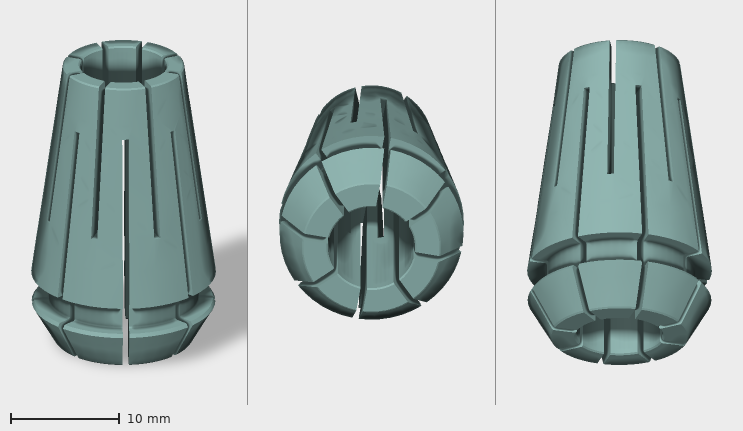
import cadquery as cq
import math

height = 27.5
bore_radius = 8.0 / 2

taper_half_angle = math.radians(8.0)
taper_base_radius = 8.5
taper_base_z = 6.65
taper_top_radius = taper_base_radius - (height - taper_base_z) * math.tan(taper_half_angle)

groove_radius = 6.88
groove_corner_radius = 0.16
groove_base_z = 4.02

head_half_angle = math.radians(30.0)
head_base_radius = 6.32
head_rim_z = 3.68
head_rim_radius = head_base_radius + head_rim_z * math.tan(head_half_angle)
head_rim_bevel = 0.22

edge_break = 0.15

slots_per_end = 8
slot_width = 0.6
lower_slot_top_z = 22.7
upper_slot_base_z = 13.0
slot_pitch = 360.0 / slots_per_end
slot_overrun = 1.38


def make_body():
    """Revolve the half section, including the bore, the groove fillets and the broken end edges."""
    base_break_radius = head_base_radius + edge_break * math.tan(head_half_angle)
    top_break_radius = taper_top_radius + edge_break * math.tan(taper_half_angle)
    groove_fillet_radius = groove_radius + groove_corner_radius
    return (
        cq.Workplane("XZ")
        .moveTo(bore_radius + edge_break, 0)
        .lineTo(base_break_radius - edge_break, 0)
        .lineTo(base_break_radius, edge_break)
        .lineTo(head_rim_radius, head_rim_z)
        .lineTo(head_rim_radius - head_rim_bevel, groove_base_z)
        .lineTo(groove_fillet_radius, groove_base_z)
        .radiusArc((groove_radius, groove_base_z + groove_corner_radius), groove_corner_radius)
        .lineTo(groove_radius, taper_base_z - groove_corner_radius)
        .radiusArc((groove_fillet_radius, taper_base_z), groove_corner_radius)
        .lineTo(taper_base_radius, taper_base_z)
        .lineTo(top_break_radius, height - edge_break)
        .lineTo(top_break_radius - edge_break, height)
        .lineTo(bore_radius + edge_break, height)
        .lineTo(bore_radius, height - edge_break)
        .lineTo(bore_radius, edge_break)
        .close()
        .revolve(360, (0, 0), (0, 1))
    )


def make_slots(start_z, end_z, first_angle):
    """Ring of radial slot cutters running from the axis through the outer wall."""
    slot_length = taper_base_radius + slot_overrun
    cutter = (
        cq.Workplane("XY")
        .workplane(offset=start_z)
        .center(slot_length / 2, 0)
        .rect(slot_length, slot_width)
        .extrude(end_z - start_z)
    )
    slots = cq.Workplane("XY")
    for index in range(slots_per_end):
        angle = first_angle + index * slot_pitch
        slots = slots.add(cutter.rotate((0, 0, 0), (0, 0, 1), angle))
    return slots.combine()


lower_slots = make_slots(-slot_overrun, lower_slot_top_z, 0)
upper_slots = make_slots(upper_slot_base_z, height + slot_overrun, slot_pitch / 2)

result = make_body().cut(lower_slots).cut(upper_slots)